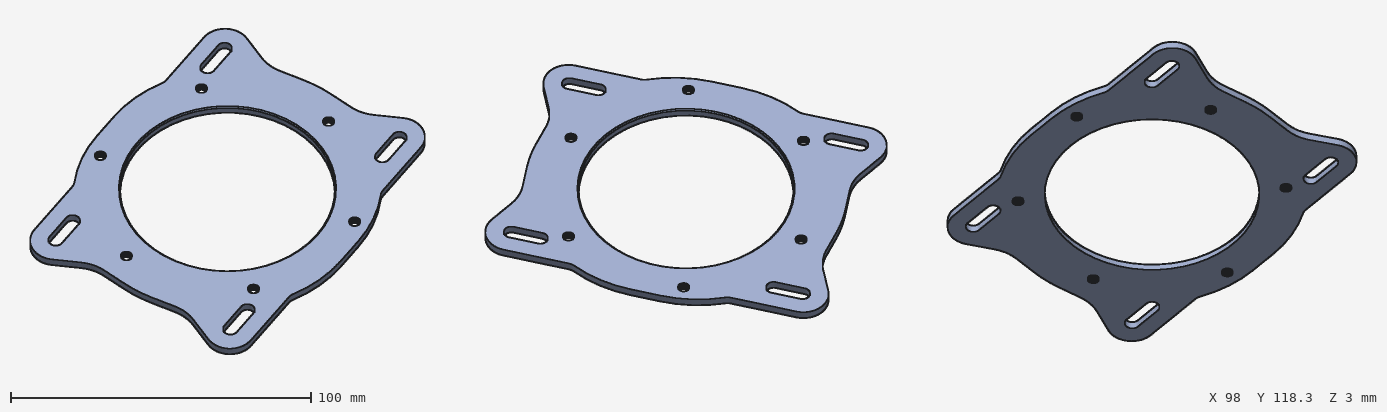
import cadquery as cq
import math

thickness = 3.0
length = 118.3
side_half_width = 49.0
side_flat_half_length = 5.2
crown_half_length = 54.0
bulge_radius = 45.7

ear_half_width = 43.4
ear_radius = 8.4
ear_slope = math.radians(26)
crown_slope = math.radians(6.8)
valley_radius = 14.8
side_blend_radius = 4.4

slot_x = ear_half_width - ear_radius
slot_y = 45.4
slot_length = 15.0
slot_width = 5.0

bore_diameter = 71.5
bore_chamfer = 0.5
hole_count = 6
hole_first_angle = 15
hole_circle_radius = 44.7
thread_minor_diameter = 3.3
thread_major_diameter = 3.8
thread_count = 4


def mirrored(x, y):
    """The four places that mirror one place across both centre planes."""
    return [(sx * x, sy * y) for sx in (1, -1) for sy in (1, -1)]


def round_edges(plate, places, radius):
    """Fillet the upright plate edges that stand at the given places."""
    edges = cq.Workplane("XY")
    for x, y in places:
        edges = edges.add(plate.edges("|Z").edges(cq.NearestToPointSelector((x, y, thickness / 2))))
    return cq.Workplane(plate.val().fillet(radius, edges.vals()))


def make_ears():
    """Eared plate: sharp outline first, then rounded at ears, valleys and crowns."""
    ear_center_y = length / 2 - ear_radius
    corner_y = ear_center_y + ear_radius * (1 + math.sin(ear_slope)) / math.cos(ear_slope)
    peak_y = crown_half_length + bulge_radius * (1 / math.cos(crown_slope) - 1)
    fall = math.tan(crown_slope)
    rise = math.tan(ear_slope)
    valley_x = (peak_y - corner_y + rise * ear_half_width) / (rise + fall)
    valley_y = peak_y - fall * valley_x

    right_end = [(valley_x, valley_y), (ear_half_width, corner_y)]
    upper = [(-x, y) for x, y in reversed(right_end)] + [(0, peak_y)] + right_end
    lower = [(-x, -y) for x, y in upper]
    plate = cq.Workplane("XY").polyline(upper + lower).close().extrude(thickness)

    plate = round_edges(plate, mirrored(ear_half_width, corner_y), ear_radius)
    plate = round_edges(plate, mirrored(valley_x, valley_y), valley_radius)
    return round_edges(plate, [(0, peak_y), (0, -peak_y)], bulge_radius)


def bulge_end_y():
    """Y where a side arc crosses the straight outer edge of an ear."""
    arc_center_x = side_half_width - bulge_radius
    return side_flat_half_length + math.sqrt(bulge_radius**2 - (ear_half_width - arc_center_x) ** 2)


def make_bulges():
    """Band across the plate; each end is a flat between two tangent arcs."""
    end_y = bulge_end_y()
    return (
        cq.Workplane("XY")
        .moveTo(side_half_width, -side_flat_half_length)
        .lineTo(side_half_width, side_flat_half_length)
        .tangentArcPoint((ear_half_width, end_y), relative=False)
        .lineTo(-ear_half_width, end_y)
        .radiusArc((-side_half_width, side_flat_half_length), -bulge_radius)
        .lineTo(-side_half_width, -side_flat_half_length)
        .tangentArcPoint((-ear_half_width, -end_y), relative=False)
        .lineTo(ear_half_width, -end_y)
        .radiusArc((side_half_width, -side_flat_half_length), -bulge_radius)
        .close()
        .extrude(thickness)
    )


def cut_slots(plate):
    slots = (
        cq.Workplane("XY")
        .pushPoints(mirrored(slot_x, slot_y))
        .slot2D(slot_length, slot_width, 90)
        .extrude(thickness)
    )
    return plate.cut(slots)


def cut_bore(plate):
    """Central opening, chamfered on the top face."""
    bore = cq.Workplane("XY").circle(bore_diameter / 2).extrude(thickness)
    rim = (
        cq.Workplane("XY", origin=(0, 0, thickness - bore_chamfer))
        .circle(bore_diameter / 2)
        .workplane(offset=bore_chamfer)
        .circle(bore_diameter / 2 + bore_chamfer)
        .loft()
    )
    return plate.cut(bore).cut(rim)


def hole_places():
    """Even ring of screw holes around the bore."""
    angles = [math.radians(hole_first_angle + i * 360 / hole_count) for i in range(hole_count)]
    return [(hole_circle_radius * math.cos(a), hole_circle_radius * math.sin(a)) for a in angles]


def cut_threaded_holes(plate):
    """Through holes whose thread is simplified to V-shaped rings, open at both faces."""
    pitch = thickness / thread_count
    major_radius = thread_major_diameter / 2
    minor_radius = thread_minor_diameter / 2
    flank = [(major_radius, 0)]
    for i in range(thread_count):
        flank += [(minor_radius, (i + 0.5) * pitch), (major_radius, (i + 1) * pitch)]
    profile = [(0, 0)] + flank + [(0, thickness)]
    cutter = cq.Workplane("XZ").polyline(profile).close().revolve(360, (0, 0), (0, 1))
    for x, y in hole_places():
        plate = plate.cut(cutter.translate((x, y, 0)))
    return plate


plate = make_ears().union(make_bulges())
plate = round_edges(plate, mirrored(ear_half_width, bulge_end_y()), side_blend_radius)
plate = cut_slots(plate)
plate = cut_bore(plate)
result = cut_threaded_holes(plate)